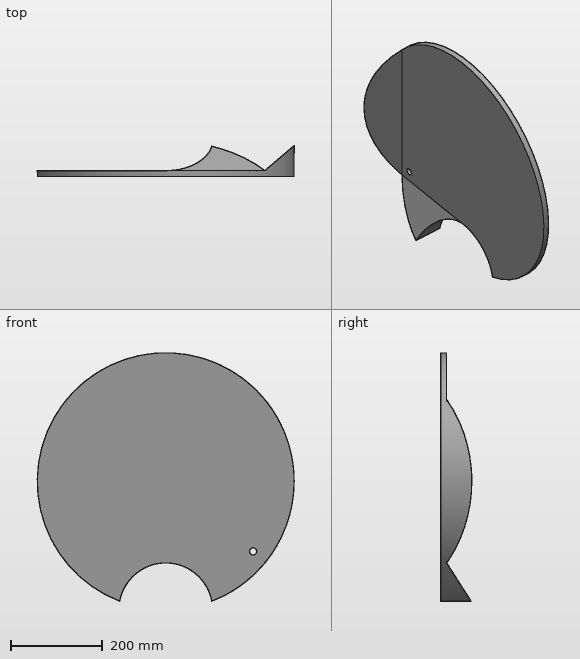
import cadquery as cq
import math

disc_radius = 279.5
plate_thickness = 13.5
total_depth = 68.0
bottom_wedge_rise = 53.0

notch_radius = 101.5
notch_tip_z = -disc_radius + notch_radius**2 / (2 * disc_radius)

hole_diameter = 15.0
hole_x = 190.0
hole_z = -152.5

wedge_meeting_z = -disc_radius + notch_radius
wedge_meeting_x = math.sqrt(disc_radius**2 - wedge_meeting_z**2)


def cylinder_y(x, z, radius, depth):
    """Cylinder along +Y starting at Y = 0."""
    axis = cq.Vector(0, 1, 0)
    return cq.Workplane(cq.Solid.makeCylinder(radius, depth, cq.Vector(x, 0, z), axis))


def side_wedge():
    """Ramp on the back face, rising towards the +X rim."""
    return (
        cq.Workplane("XY")
        .moveTo(wedge_meeting_x, plate_thickness)
        .lineTo(disc_radius, total_depth)
        .lineTo(disc_radius, plate_thickness)
        .close()
        .extrude(disc_radius, both=True)
    )


def bottom_wedge():
    """Ramp on the back face, right of the notch, rising down to the notch tip."""
    ramp_slope = bottom_wedge_rise / (wedge_meeting_z - notch_tip_z)
    deepest_y = plate_thickness + ramp_slope * (wedge_meeting_z + disc_radius)
    return (
        cq.Workplane("YZ")
        .moveTo(plate_thickness, wedge_meeting_z)
        .lineTo(deepest_y, -disc_radius)
        .lineTo(plate_thickness, -disc_radius)
        .close()
        .extrude(disc_radius)
    )


plate = cylinder_y(0, 0, disc_radius, plate_thickness)
rim_envelope = cylinder_y(0, 0, disc_radius, 2 * total_depth)
notch = cylinder_y(0, -disc_radius, notch_radius, 2 * total_depth)
hole = cylinder_y(hole_x, hole_z, hole_diameter / 2, plate_thickness)

side_ramp = side_wedge().intersect(rim_envelope)
bottom_ramp = bottom_wedge().intersect(rim_envelope).cut(notch)

result = plate.cut(notch).cut(hole).union(side_ramp).union(bottom_ramp)